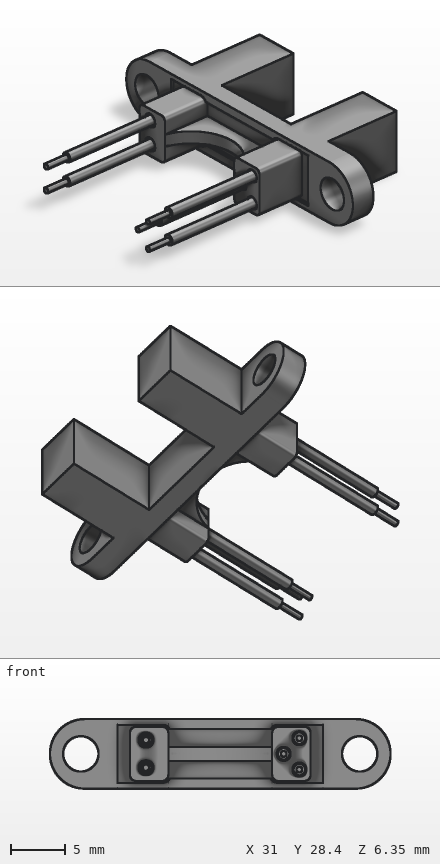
import cadquery as cq


flange_length = 31.0
body_height = 6.35
flange_thickness = 2.5
mount_hole_spacing = 25.35
mount_hole_diameter = 3.2

prong_gap = 9.45
prong_outer_span = 18.72
prong_tip_y = 10.8
fork_floor_y = 2.05

block_width = 3.47
block_height = 4.9
block_corner_radius = 0.5
block_front_y = -4.85
block_center_x = prong_gap / 2 + block_width / 2

recess_depth = 0.3
recess_clearance = 0.2
recess_channel_height = 4.5
recess_height = block_height + 2 * recess_clearance

web_thickness = 1.27
arch_top_y = -1.05

insulation_end_y = -15.03
conductor_end_y = -17.55
wire_hole_depth = 1.0

emitter_wires = [(-6.75, -1.255), (-6.75, 1.255)]
emitter_insulation_diameter = 1.0
emitter_conductor_diameter = 0.6
emitter_hole_diameter = 1.35

detector_wires = [(5.75, 0), (7.2, -1.43), (7.2, 1.43)]
detector_insulation_diameter = 1.05
detector_conductor_diameter = 0.53
detector_hole_diameter = 1.27


def section(y):
    """Sketch plane across the part at the given Y, with local axes X and Z and extrusion towards -Y."""
    return cq.Workplane("XZ", origin=(0, y, 0))


def block_shape(start_y, end_y, offset=0.0):
    """Both rounded wire blocks between two Y positions, grown outwards by an offset."""
    return (
        section(start_y)
        .pushPoints([(-block_center_x, 0), (block_center_x, 0)])
        .rect(block_width + 2 * offset, block_height + 2 * offset)
        .extrude(start_y - end_y)
        .edges("|Y")
        .fillet(block_corner_radius + offset)
    )


def make_body():
    """Flange with rounded ends, two prongs and the two mounting holes."""
    flange = section(flange_thickness).slot2D(flange_length, body_height).extrude(flange_thickness)
    prongs = section(prong_tip_y).rect(prong_outer_span, body_height).extrude(prong_tip_y)
    fork_gap = section(prong_tip_y).rect(prong_gap, body_height).extrude(prong_tip_y - fork_floor_y)
    mount_holes = (
        section(flange_thickness)
        .pushPoints([(-mount_hole_spacing / 2, 0), (mount_hole_spacing / 2, 0)])
        .circle(mount_hole_diameter / 2)
        .extrude(flange_thickness)
    )
    return flange.union(prongs).cut(fork_gap).cut(mount_holes)


def make_recess():
    """Narrow channel widening to a full-height pocket that clears each block."""
    channel = section(recess_depth).rect(prong_outer_span, recess_channel_height).extrude(recess_depth)
    pocket_inner_x = prong_gap / 2 + block_corner_radius
    pocket_width = prong_outer_span / 2 - pocket_inner_x
    pocket_center_x = pocket_inner_x + pocket_width / 2
    pockets = (
        section(recess_depth)
        .pushPoints([(-pocket_center_x, 0), (pocket_center_x, 0)])
        .rect(pocket_width, recess_height)
        .extrude(recess_depth)
    )
    return channel.union(pockets).union(block_shape(recess_depth, 0, recess_clearance))


def make_web():
    """Thin plate between the blocks with an arch cut from its free edge."""
    half_gap = prong_gap / 2
    return (
        cq.Workplane("XY")
        .moveTo(-half_gap, recess_depth)
        .lineTo(-half_gap, block_front_y)
        .threePointArc((0, arch_top_y), (half_gap, block_front_y))
        .lineTo(half_gap, recess_depth)
        .close()
        .extrude(web_thickness / 2, both=True)
    )


def add_wires(part, centers, insulation_diameter, conductor_diameter, hole_diameter):
    """Drill a clearance hole for each wire, then stand the stripped wire on the hole floor."""
    hole_floor_y = block_front_y + wire_hole_depth

    def rods(start_y, end_y, diameter):
        return section(start_y).pushPoints(centers).circle(diameter / 2).extrude(start_y - end_y)

    part = part.cut(rods(hole_floor_y, block_front_y, hole_diameter))
    part = part.union(rods(hole_floor_y, insulation_end_y, insulation_diameter))
    return part.union(rods(hole_floor_y, conductor_end_y, conductor_diameter))


result = make_body().cut(make_recess())
result = result.union(block_shape(recess_depth, block_front_y)).union(make_web())
result = add_wires(
    result,
    emitter_wires,
    emitter_insulation_diameter,
    emitter_conductor_diameter,
    emitter_hole_diameter,
)
result = add_wires(
    result,
    detector_wires,
    detector_insulation_diameter,
    detector_conductor_diameter,
    detector_hole_diameter,
)